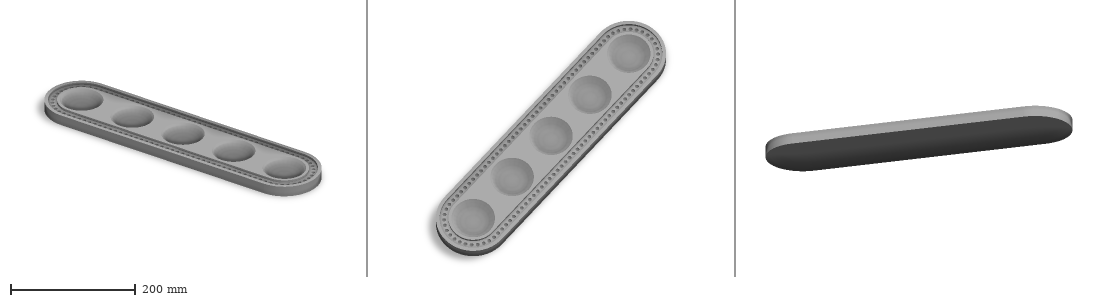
import cadquery as cq
import math

length = 511.0
width = 120.0
height = 18.0
end_center_x = (length - width) / 2

groove_outer_width = 108.5
groove_inner_width = 79.5
groove_depth = 4.0

dimple_count = 108
dimple_diameter = 6.0

bowl_count = 5
bowl_diameter = 70.0
bowl_depth = 14.0
bowl_flat_reach = 25.5
bowl_pitch = 2 * end_center_x / (bowl_count - 1)


def rounded_bar(bar_width, bottom, thickness):
    """Round-ended bar of a given width whose end arcs share the tray's end centers."""
    outline = cq.Workplane("XY").workplane(offset=bottom)
    return outline.slot2D(2 * end_center_x + bar_width, bar_width).extrude(thickness)


def groove():
    floor = height - groove_depth
    outer = rounded_bar(groove_outer_width, floor, groove_depth)
    inner = rounded_bar(groove_inner_width, floor, groove_depth)
    return outer.cut(inner)


def dimple_centers():
    """Points at equal steps along the groove's middle line, from mid-side, counterclockwise."""
    radius = (groove_outer_width + groove_inner_width) / 4
    arc_length = math.pi * radius
    half_loop = 2 * end_center_x + arc_length
    step = 2 * half_loop / dimple_count
    centers = []
    for index in range(dimple_count // 2):
        travel = index * step
        if travel <= end_center_x:
            x, y = travel, -radius
        elif travel <= end_center_x + arc_length:
            angle = (travel - end_center_x) / radius - math.pi / 2
            x = end_center_x + radius * math.cos(angle)
            y = radius * math.sin(angle)
        else:
            x, y = half_loop - travel, radius
        centers += [(x, y), (-x, -y)]
    return centers


def dimples():
    """Balls centered on the groove floor, which leave half-sphere dimples when cut away."""
    floor = cq.Workplane("XY").workplane(offset=height - groove_depth)
    return floor.pushPoints(dimple_centers()).sphere(dimple_diameter / 2)


def bowls():
    """Bowls with a flat middle and a wall that steepens towards the rim."""
    bowl_radius = bowl_diameter / 2
    curve = [
        (0, -bowl_depth),
        (bowl_flat_reach / 2, -bowl_depth),
        (bowl_flat_reach, -bowl_depth),
        (bowl_radius, 0),
    ]
    profile = cq.Workplane("XZ").bezier(curve).lineTo(0, 0).close()
    bowl = profile.revolve(360, (0, 0, 0), (0, 1, 0)).val()
    spots = cq.Workplane("XY").workplane(offset=height).rarray(bowl_pitch, 5, bowl_count, 1)
    return spots.eachpoint(lambda spot: bowl.moved(spot))


result = rounded_bar(width, 0, height).cut(groove()).cut(dimples()).cut(bowls())